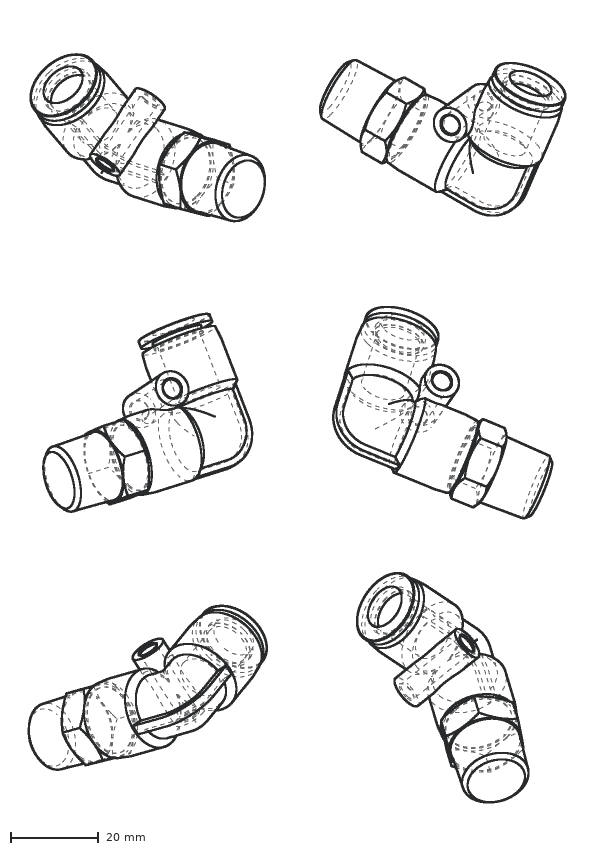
import cadquery as cq
import math

SOCKET_TILT = 42.0

BEND_RADIUS = 7.5
ARM_RADIUS = 9.2
SHOULDER_START = 7.4
SHOULDER_END = SHOULDER_START + ARM_RADIUS - BEND_RADIUS
LIP_START = 19.25
ARM_LENGTH = 22.3
LIP_RADIUS = 8.9

RIB_REACH = 9.0
RIB_THICKNESS = 2.4

LUG_OFFSET = 11.0
LUG_RADIUS = 4.05
LUG_LENGTH = 18.95
LUG_HOLE_RADIUS = 2.2
LUG_HOLE_CHAMFER = 0.25

TUBE_BORE_RADIUS = 5.1
COLLET_SEAT = 22.15
COLLET_NECK_RADIUS = 5.95
COLLET_RADIUS = 8.65
FLANGE_BOTTOM = 23.65
FLANGE_RIM = 25.35
RIM_BEVEL_WIDTH = 0.2
RIM_BEVEL_HEIGHT = 0.1
COLLET_TOP = 25.6
COLLET_RING_RADIUS = 5.9

NIPPLE_NECK_RADIUS = 7.75
HEX_START = 22.7
HEX_END = 29.6
HEX_CORNER_RADIUS = 9.75
HEX_FLAT_RADIUS = HEX_CORNER_RADIUS * math.cos(math.radians(30))
HEX_CHAMFER_LENGTH = 0.75
HEX_TURN = 7.8
THREAD_RADIUS = 8.1
THREAD_TAPER = 1 / 32
NIPPLE_END = 50.9 - ARM_RADIUS
THREAD_CHAMFER = 1.05


def turned(profile):
    """Solid of revolution about Z from (radius, height) points."""
    return cq.Workplane("XZ").polyline(profile).close().revolve(360, (0, 0), (0, 1))


def along_x(solid):
    """Turn a solid built along +Z so that it lies along +X."""
    return solid.rotate((0, 0, 0), (0, 1, 0), 90)


def tilted(solid):
    """Tilt a solid about X into the direction of the tube socket."""
    return solid.rotate((0, 0, 0), (1, 0, 0), SOCKET_TILT)


def make_arm():
    """Solid arm along Z, stepped out from the bare pipe of the bend."""
    return turned([
        (0, 0),
        (BEND_RADIUS, 0),
        (BEND_RADIUS, SHOULDER_START),
        (ARM_RADIUS, SHOULDER_END),
        (ARM_RADIUS, LIP_START),
        (LIP_RADIUS, ARM_LENGTH),
        (0, ARM_LENGTH),
    ])


def make_rib():
    """Plate in the plane of both arms, rounded about the corner of the bend."""
    corner = RIB_REACH * math.sqrt(0.5)
    return (
        cq.Workplane("XZ")
        .moveTo(-RIB_REACH, SHOULDER_END)
        .lineTo(-RIB_REACH, 0)
        .threePointArc((-corner, -corner), (0, -RIB_REACH))
        .lineTo(SHOULDER_END, -RIB_REACH)
        .lineTo(SHOULDER_END, 0)
        .lineTo(0, 0)
        .lineTo(0, SHOULDER_END)
        .close()
        .extrude(RIB_THICKNESS / 2, both=True)
    )


def lug_cylinder(radius):
    return (
        cq.Workplane("XZ")
        .center(LUG_OFFSET, LUG_OFFSET)
        .circle(radius)
        .extrude(LUG_LENGTH / 2, both=True)
    )


def make_lug_hole():
    mouth = LUG_HOLE_RADIUS + LUG_HOLE_CHAMFER
    half = LUG_LENGTH / 2
    hole = turned([
        (0, -half),
        (mouth, -half),
        (LUG_HOLE_RADIUS, LUG_HOLE_CHAMFER - half),
        (LUG_HOLE_RADIUS, half - LUG_HOLE_CHAMFER),
        (mouth, half),
        (0, half),
    ])
    return hole.rotate((0, 0, 0), (1, 0, 0), 90).translate((LUG_OFFSET, 0, LUG_OFFSET))


def make_elbow():
    body = (
        cq.Workplane("XY").sphere(BEND_RADIUS)
        .union(make_arm())
        .union(along_x(make_arm()))
        .union(make_rib())
        .union(lug_cylinder(LUG_RADIUS))
        .cut(make_lug_hole())
    )
    socket = turned([
        (0, SHOULDER_END),
        (TUBE_BORE_RADIUS, SHOULDER_END),
        (TUBE_BORE_RADIUS, COLLET_SEAT),
        (COLLET_NECK_RADIUS, COLLET_SEAT),
        (COLLET_NECK_RADIUS, ARM_LENGTH),
        (0, ARM_LENGTH),
    ])
    return tilted(body.cut(socket))


def make_collet():
    return tilted(turned([
        (TUBE_BORE_RADIUS, COLLET_SEAT),
        (COLLET_NECK_RADIUS, COLLET_SEAT),
        (COLLET_NECK_RADIUS, FLANGE_BOTTOM),
        (COLLET_RADIUS, FLANGE_BOTTOM),
        (COLLET_RADIUS, FLANGE_RIM),
        (COLLET_RADIUS - RIM_BEVEL_WIDTH, FLANGE_RIM + RIM_BEVEL_HEIGHT),
        (COLLET_RING_RADIUS, COLLET_TOP),
        (TUBE_BORE_RADIUS, COLLET_TOP),
    ]))


def make_hexagon():
    """Hexagon along Z whose corners are turned down to the flats at both ends."""
    hexagon = (
        cq.Workplane("XY")
        .workplane(offset=HEX_START)
        .polygon(6, 2 * HEX_CORNER_RADIUS)
        .extrude(HEX_END - HEX_START)
        .rotate((0, 0, 0), (0, 0, 1), HEX_TURN)
    )
    envelope = turned([
        (0, HEX_START),
        (HEX_FLAT_RADIUS, HEX_START),
        (HEX_CORNER_RADIUS, HEX_START + HEX_CHAMFER_LENGTH),
        (HEX_CORNER_RADIUS, HEX_END - HEX_CHAMFER_LENGTH),
        (HEX_FLAT_RADIUS, HEX_END),
        (0, HEX_END),
    ])
    return hexagon.intersect(envelope)


def make_nipple():
    neck = turned([
        (0, ARM_LENGTH),
        (NIPPLE_NECK_RADIUS, ARM_LENGTH),
        (NIPPLE_NECK_RADIUS, HEX_START),
        (0, HEX_START),
    ])
    chamfer_start = NIPPLE_END - THREAD_CHAMFER
    thread_end_radius = THREAD_RADIUS - THREAD_TAPER * (chamfer_start - HEX_END)
    thread = turned([
        (0, HEX_END),
        (THREAD_RADIUS, HEX_END),
        (thread_end_radius, chamfer_start),
        (thread_end_radius - THREAD_CHAMFER, NIPPLE_END),
        (0, NIPPLE_END),
    ])
    return along_x(make_hexagon().union(neck).union(thread))


elbow = make_elbow()
collet = make_collet()
nipple = make_nipple()
result = cq.Compound.makeCompound([elbow.val(), collet.val(), nipple.val()])